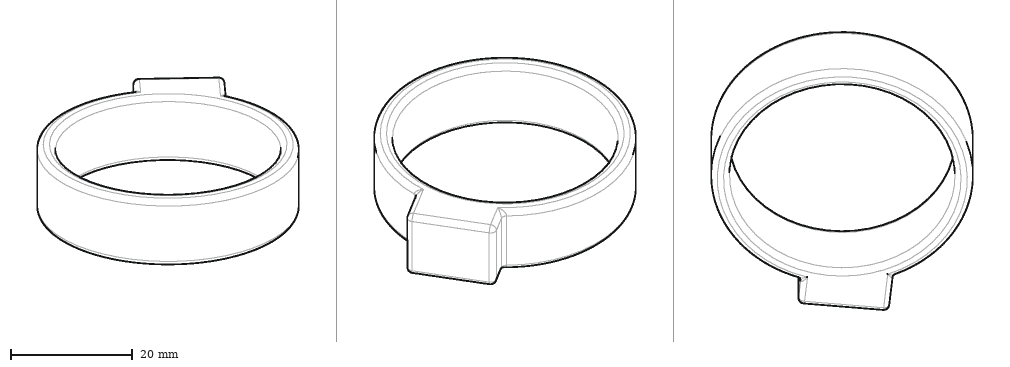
import cadquery as cq
import math

ring_outer_diameter = 43.0
ring_inner_diameter = 37.0
height = 12.0

tab_turn = 27.0
tab_width = 15.0
tab_offset = 2.8
tab_reach = 26.0

edge_radius = 1.0
foot_radius = 0.9

ring_outer_radius = ring_outer_diameter / 2
ring_inner_radius = ring_inner_diameter / 2


def make_sharp_ring():
    """Ring and tab with sharp edges, the tab pointing along +Y."""
    disc = cq.Workplane("XY").circle(ring_outer_radius).extrude(height)
    tab = (
        cq.Workplane("XY")
        .center(tab_offset, tab_reach / 2)
        .rect(tab_width, tab_reach)
        .extrude(height)
    )
    bore = cq.Workplane("XY").circle(ring_inner_radius).extrude(height)
    return disc.union(tab).cut(bore)


def upright_edges(body, points):
    """The edges of the body whose middles lie nearest to the given (x, y) points at mid height."""
    return [
        body.edges(cq.selectors.NearestToPointSelector((x, y, height / 2))).val()
        for x, y in points
    ]


def make_ring():
    """Ring with its tab and all its roundings, turned into place."""
    flanks = [tab_offset - tab_width / 2, tab_offset + tab_width / 2]
    tab_corners = [(x, tab_reach) for x in flanks]
    tab_feet = [(x, math.sqrt(ring_outer_radius**2 - x**2)) for x in flanks]

    body = make_sharp_ring()
    rim_edges = body.faces("<Z or >Z").edges().vals()
    body = body.newObject(rim_edges + upright_edges(body, tab_corners)).fillet(edge_radius)
    body = body.newObject(upright_edges(body, tab_feet)).fillet(foot_radius)
    return body.rotate((0, 0, 0), (0, 0, 1), tab_turn)


ring = make_ring()

result = cq.Compound.makeCompound([ring.val()])